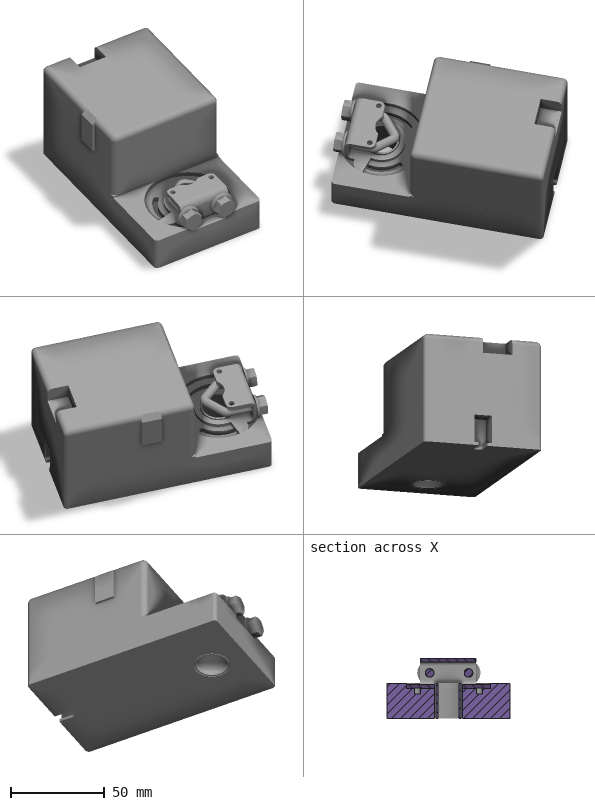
import cadquery as cq
import math


BODY_WIDTH = 66.0
BASE_LENGTH = 115.3
BASE_TOP = 19.0
BASE_CORNER_RADIUS = 2.0
SPLIT_Z = 20.0
COVER_LENGTH = 72.4
COVER_TOP = 59.5
COVER_EDGE_RADIUS = 3.0
FRONT_Y = -BODY_WIDTH / 2

NOTCH_LENGTH = 11.5
NOTCH_WIDTH = 16.4
NOTCH_DEPTH = 8.7

KEYWAY_WIDTH = 9.8
KEYWAY_FLOOR = 1.6
KEYWAY_TOP = 16.6
KEYWAY_DEPTH = 10.0
SLIT_WIDTH = 5.0

LATCH_CENTER_X = 48.0
LATCH_WIDTH = 11.1
LATCH_TIP_WIDTH = 2.2
LATCH_BOTTOM = 38.9
LATCH_STANDOUT = 1.4
LATCH_OUTER_Y = FRONT_Y - LATCH_STANDOUT
LATCH_TAPER_DEPTH = (LATCH_WIDTH - LATCH_TIP_WIDTH) / 2
LATCH_CHAMFER = 3.1

HUB_X = 94.6
SHEET = 2.0
PLATE_TOP = 18.4
RECESS_RADIUS = 23.2
RECESS_FLOOR = PLATE_TOP - SHEET
BORE_RADIUS = 9.8
ARC_SLOT_RADIUS = 17.5
ARC_SLOT_WIDTH = 3.1
ARC_SLOT_DEPTH = 3.0
ARC_SLOT_START_ANGLE = 70
ARC_SLOT_END_ANGLE = 135

HUB_CLEARANCE = 0.4
HUB_RADIUS = BORE_RADIUS - HUB_CLEARANCE
HUB_WALL = 1.0
HUB_TOP = BASE_TOP

BRACKET_WIDTH = 29.8
BRACKET_TOP = 32.3
BRACKET_LEFT = 95.4
BRACKET_RIGHT = 111.8
BEND_OUTER_RADIUS = 2 * SHEET
BRACKET_CORNER_RADIUS = 3.0
PLATE_RING_RADIUS = 12.8
WING_HALF_ANGLE = 75
WING_REACH = 11.7
WING_CORNER_RADIUS = 5.0
PIN_HOLE_X = 98.6
PIN_HOLE_SPACING = 24.0
PIN_HOLE_DIAMETER = 3.1
SHAFT_NOTCH_RADIUS = 7.1
SHAFT_NOTCH_X = 90.8

BOLT_Z = 24.5
BOLT_DIAMETER = 4.8
BOLT_RADIUS = BOLT_DIAMETER / 2
BOLT_BACK_Y = 10.0
BOLT_FRONT_Y = -10.7
BOLT_TIP = (86.5, 1.1)
BACK_LEG_ANGLE = 42.5
FRONT_LEG_ANGLE = 52.5
BOLT_BEND_RADIUS = 2.5

NUT_END_X = 117.8
FLANGE_RADIUS = 6.5
FLANGE_THICKNESS = 0.8
FLANGE_CONE_RADIUS = 5.7
FLANGE_CONE_LENGTH = 0.7
HEX_CORNER_RADIUS = 5.5
HEX_END_CHAMFER = 0.5
BACK_NUT_TURN = 10
FRONT_NUT_TURN = 20


def box(x0, x1, y0, y1, z0, z1):
    """A block between the given limits."""
    return cq.Workplane("XY").box(x1 - x0, y1 - y0, z1 - z0, centered=False).translate((x0, y0, z0))


def hub_disc(radius, z0, z1):
    """A disc centred on the hub axis."""
    return cq.Workplane("XY").workplane(offset=z0).center(HUB_X, 0).circle(radius).extrude(z1 - z0)


def polar(radius, angle):
    """Point at a radius and angle around the hub axis."""
    turn = math.radians(angle)
    return (HUB_X + radius * math.cos(turn), radius * math.sin(turn))


def arc_slot(side):
    """Round-ended curved slot in the recess floor; side is +1 for back and -1 for front."""
    middle_angle = (ARC_SLOT_START_ANGLE + ARC_SLOT_END_ANGLE) / 2
    inner = ARC_SLOT_RADIUS - ARC_SLOT_WIDTH / 2
    outer = ARC_SLOT_RADIUS + ARC_SLOT_WIDTH / 2
    end_round = math.degrees(ARC_SLOT_WIDTH / 2 / ARC_SLOT_RADIUS)
    return (
        cq.Workplane("XY")
        .workplane(offset=RECESS_FLOOR - ARC_SLOT_DEPTH)
        .moveTo(*polar(inner, side * ARC_SLOT_START_ANGLE))
        .threePointArc(
            polar(inner, side * middle_angle),
            polar(inner, side * ARC_SLOT_END_ANGLE),
        )
        .threePointArc(
            polar(ARC_SLOT_RADIUS, side * (ARC_SLOT_END_ANGLE + end_round)),
            polar(outer, side * ARC_SLOT_END_ANGLE),
        )
        .threePointArc(
            polar(outer, side * middle_angle),
            polar(outer, side * ARC_SLOT_START_ANGLE),
        )
        .threePointArc(
            polar(ARC_SLOT_RADIUS, side * (ARC_SLOT_START_ANGLE - end_round)),
            polar(inner, side * ARC_SLOT_START_ANGLE),
        )
        .close()
        .extrude(ARC_SLOT_DEPTH)
    )


def keyway():
    """Keyhole slot: a rectangular channel over a narrower round-ended slit."""
    half = KEYWAY_WIDTH / 2
    channel = box(0, KEYWAY_DEPTH, -half, half, KEYWAY_FLOOR, KEYWAY_TOP)
    slit_radius = SLIT_WIDTH / 2
    slit_center_x = KEYWAY_DEPTH - slit_radius
    slit = box(0, slit_center_x, -slit_radius, slit_radius, 0, KEYWAY_FLOOR)
    slit_end = cq.Workplane("XY").center(slit_center_x, 0).circle(slit_radius).extrude(KEYWAY_FLOOR)
    return channel.union(slit).union(slit_end)


def make_base():
    """Base with a raised step under the cover and a recess for the clamp."""
    base = box(0, BASE_LENGTH, FRONT_Y, -FRONT_Y, 0, SPLIT_Z).edges("|Z").fillet(BASE_CORNER_RADIUS)
    base = base.cut(box(COVER_LENGTH, BASE_LENGTH, FRONT_Y, -FRONT_Y, BASE_TOP, SPLIT_Z))
    base = base.cut(hub_disc(RECESS_RADIUS, RECESS_FLOOR, BASE_TOP))
    base = base.cut(hub_disc(BORE_RADIUS, 0, RECESS_FLOOR))
    for side in (1, -1):
        base = base.cut(arc_slot(side))
    return base.cut(keyway())


def make_latch():
    """Latch block whose plan tapers into the cover, with a chamfered outer top edge."""
    half = LATCH_WIDTH / 2
    half_tip = LATCH_TIP_WIDTH / 2
    tip_y = FRONT_Y + LATCH_TAPER_DEPTH
    return (
        cq.Workplane("XY")
        .workplane(offset=LATCH_BOTTOM)
        .center(LATCH_CENTER_X, 0)
        .polyline([
            (-half, LATCH_OUTER_Y),
            (half, LATCH_OUTER_Y),
            (half, FRONT_Y),
            (half_tip, tip_y),
            (-half_tip, tip_y),
            (-half, FRONT_Y),
        ])
        .close()
        .extrude(COVER_TOP - LATCH_BOTTOM)
        .faces("<Y").edges(">Z").chamfer(LATCH_CHAMFER)
    )


def make_cover(latch):
    """Cover with rounded edges, a pocket in its top left edge and a seat for the latch."""
    cover = box(0, COVER_LENGTH, FRONT_Y, -FRONT_Y, SPLIT_Z, COVER_TOP)
    cover = cover.edges("|Z and <X").fillet(BASE_CORNER_RADIUS)
    cover = cover.edges("|Z and >X").fillet(COVER_EDGE_RADIUS)
    cover = cover.faces(">Z").edges().fillet(COVER_EDGE_RADIUS)
    cover = cover.cut(box(0, NOTCH_LENGTH, -NOTCH_WIDTH, 0, COVER_TOP - NOTCH_DEPTH, COVER_TOP))
    return cover.cut(latch)


def make_hub():
    """Hollow sleeve through the bore, standing slightly above the bracket plate."""
    return hub_disc(HUB_RADIUS, 0, HUB_TOP).cut(hub_disc(HUB_RADIUS - HUB_WALL, 0, HUB_TOP))


def wing_plate():
    """Lower sheet of the bracket: a ring around the bore and two wings."""
    wing_half_width = WING_REACH * math.tan(math.radians(WING_HALF_ANGLE))
    sector = (
        cq.Workplane("XY")
        .workplane(offset=RECESS_FLOOR)
        .center(HUB_X, 0)
        .polyline([(0, 0), (WING_REACH, -wing_half_width), (WING_REACH, wing_half_width)])
        .close()
        .extrude(SHEET)
    )
    wings = hub_disc(RECESS_RADIUS, RECESS_FLOOR, PLATE_TOP).intersect(sector)
    wings = wings.faces(">X").edges("|Z").fillet(WING_CORNER_RADIUS)
    return wings.union(hub_disc(PLATE_RING_RADIUS, RECESS_FLOOR, PLATE_TOP))


def bent_strip():
    """C-shaped strip: it leaves the lower plate, rises, and folds back over the bolt."""
    outer = box(HUB_X, BRACKET_RIGHT, -BRACKET_WIDTH / 2, BRACKET_WIDTH / 2, RECESS_FLOOR, BRACKET_TOP)
    outer = outer.edges("|Y and >X").fillet(BEND_OUTER_RADIUS)
    inner = box(
        HUB_X - BEND_OUTER_RADIUS, BRACKET_RIGHT - SHEET,
        -BRACKET_WIDTH / 2, BRACKET_WIDTH / 2,
        PLATE_TOP, BRACKET_TOP - SHEET,
    )
    inner = inner.edges("|Y and >X").fillet(BEND_OUTER_RADIUS - SHEET)
    over_wings = box(
        HUB_X, HUB_X + WING_REACH,
        -BRACKET_WIDTH / 2, BRACKET_WIDTH / 2,
        RECESS_FLOOR, PLATE_TOP,
    )
    return outer.cut(inner).cut(over_wings)


def upper_flange_trim():
    """Space left of the upper flange, leaving its rounded corners and the shaft notch."""
    top_z = BRACKET_TOP - SHEET
    half = BRACKET_WIDTH / 2
    trim = box(HUB_X, BRACKET_LEFT + BRACKET_CORNER_RADIUS, -half, half, top_z, BRACKET_TOP)
    kept = box(BRACKET_LEFT, BRACKET_RIGHT, -half, half, top_z, BRACKET_TOP)
    kept = kept.edges("|Z and <X").fillet(BRACKET_CORNER_RADIUS)
    notch = (
        cq.Workplane("XY")
        .workplane(offset=top_z)
        .center(SHAFT_NOTCH_X, 0)
        .circle(SHAFT_NOTCH_RADIUS)
        .extrude(SHEET)
    )
    return trim.cut(kept).union(notch)


def make_bracket(bolt):
    """Sheet-metal clamp bracket with pin holes above and bolt holes in its upright."""
    bracket = bent_strip().cut(upper_flange_trim())
    pin_holes = (
        cq.Workplane("XY")
        .workplane(offset=BRACKET_TOP - SHEET)
        .pushPoints([(PIN_HOLE_X, side * PIN_HOLE_SPACING / 2) for side in (1, -1)])
        .circle(PIN_HOLE_DIAMETER / 2)
        .extrude(SHEET)
    )
    bracket = bracket.cut(pin_holes).union(wing_plate())
    bracket = bracket.cut(hub_disc(BORE_RADIUS, RECESS_FLOOR, PLATE_TOP))
    return bracket.cut(bolt)


def rounded_corner(corner, angle_in, angle_out, radius):
    """Start, middle and end of the arc that rounds a corner between two headings in degrees."""
    turn = math.radians(angle_out - angle_in)
    setback = radius * math.tan(abs(turn) / 2)
    heading_in = math.radians(angle_in)
    heading_out = math.radians(angle_out)
    start = (
        corner[0] - setback * math.cos(heading_in),
        corner[1] - setback * math.sin(heading_in),
    )
    end = (
        corner[0] + setback * math.cos(heading_out),
        corner[1] + setback * math.sin(heading_out),
    )
    chord = 2 * radius * math.sin(abs(turn) / 4)
    heading_middle = heading_in + turn / 4
    middle = (
        start[0] + chord * math.cos(heading_middle),
        start[1] + chord * math.sin(heading_middle),
    )
    return start, middle, end


def make_bolt():
    """V-bolt: a round rod bent to a V, with two parallel ends that pass through the nuts."""
    tip_x, tip_y = BOLT_TIP
    back_corner_x = tip_x + (BOLT_BACK_Y - tip_y) / math.tan(math.radians(BACK_LEG_ANGLE))
    front_corner_x = tip_x + (tip_y - BOLT_FRONT_Y) / math.tan(math.radians(FRONT_LEG_ANGLE))
    heading_left = 180
    heading_to_tip = 180 + BACK_LEG_ANGLE
    heading_from_tip = 360 - FRONT_LEG_ANGLE
    heading_right = 360
    bends = [
        rounded_corner((back_corner_x, BOLT_BACK_Y), heading_left, heading_to_tip, BOLT_BEND_RADIUS),
        rounded_corner(BOLT_TIP, heading_to_tip, heading_from_tip, BOLT_BEND_RADIUS),
        rounded_corner((front_corner_x, BOLT_FRONT_Y), heading_from_tip, heading_right, BOLT_BEND_RADIUS),
    ]
    path = cq.Workplane("XY").workplane(offset=BOLT_Z).moveTo(NUT_END_X, BOLT_BACK_Y)
    for start, middle, end in bends:
        path = path.lineTo(*start).threePointArc(middle, end)
    path = path.lineTo(NUT_END_X, BOLT_FRONT_Y)
    return (
        cq.Workplane("YZ", origin=(NUT_END_X, BOLT_BACK_Y, BOLT_Z))
        .circle(BOLT_RADIUS)
        .sweep(path)
    )


def make_nut(y, turn):
    """Hexagon flange nut against the upright; turn is its rotation about X in degrees."""
    seat = cq.Workplane("YZ", origin=(BRACKET_RIGHT, y, BOLT_Z))
    flange = seat.circle(FLANGE_RADIUS).extrude(FLANGE_THICKNESS)
    cone = cq.Workplane(
        cq.Solid.makeCone(
            FLANGE_RADIUS,
            FLANGE_CONE_RADIUS,
            FLANGE_CONE_LENGTH,
            cq.Vector(BRACKET_RIGHT + FLANGE_THICKNESS, y, BOLT_Z),
            cq.Vector(1, 0, 0),
        )
    )
    nut_length = NUT_END_X - BRACKET_RIGHT
    chamfered_rod = seat.circle(HEX_CORNER_RADIUS).extrude(nut_length).faces(">X").chamfer(HEX_END_CHAMFER)
    hexagon = seat.polygon(6, 2 * HEX_CORNER_RADIUS).extrude(nut_length)
    hexagon = hexagon.rotate((0, y, BOLT_Z), (1, y, BOLT_Z), turn).intersect(chamfered_rod)
    bolt_hole = seat.circle(BOLT_RADIUS).extrude(nut_length)
    return flange.union(cone).union(hexagon).cut(bolt_hole)


base = make_base()
latch = make_latch()
cover = make_cover(latch)
hub = make_hub()
bolt = make_bolt()
bracket = make_bracket(bolt)
nuts = [
    make_nut(y, turn)
    for y, turn in ((BOLT_BACK_Y, BACK_NUT_TURN), (BOLT_FRONT_Y, FRONT_NUT_TURN))
]

result = cq.Compound.makeCompound([
    base.val(),
    latch.val(),
    cover.val(),
    hub.val(),
    bolt.val(),
    bracket.val(),
    *[nut.val() for nut in nuts],
])